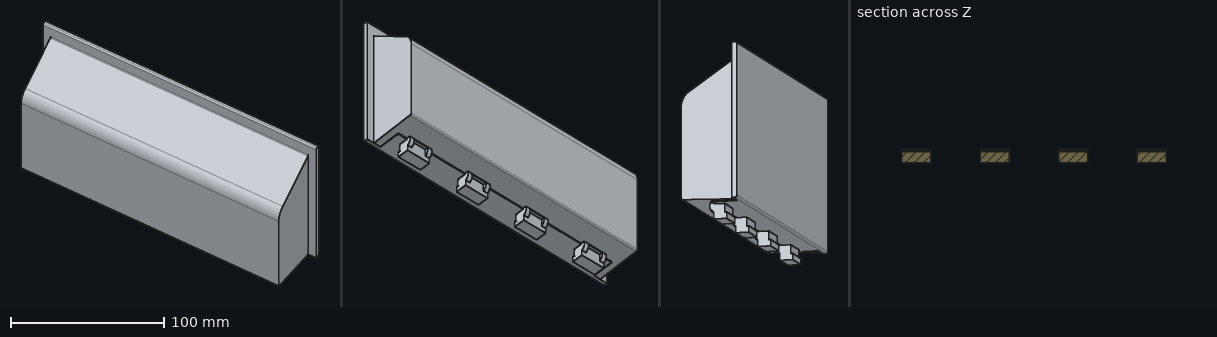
import cadquery as cq
import math


flange_width = 211.0
flange_height = 103.2
flange_thickness = 3.5
flange_top_round = 1.0
flange_bottom_round = 1.5

hood_width = 199.0
front_y = -39.7
hood_top_z = flange_height - 9.7
hood_root_radius = 0.8
hood_slope_angle = 33.7
hood_edge_radius = 11.4
hood_back_bottom_z = 0.17
hood_front_bottom_z = 1.43
hood_bottom_round = 1.0

pad_width = 187.8
pad_front_y = -20.9
pad_root_z = 2.1

clip_count = 4
clip_pitch = 51.0
clip_width = 19.2
clip_bottom_z = -10.0
clip_foot_back_y = -12.7
clip_neck_back_y = -14.0
clip_foot_front_y = -21.5
clip_nose_front_y = -24.0
clip_foot_top_z = -5.7
clip_nose_center_z = -1.3
clip_window_width = 12.0
clip_root_z = 2 * clip_nose_center_z - clip_foot_top_z
clip_window_top_z = -0.2

hood_overlap = 1.0


def side_extrusion(outline, width):
    """Extrude a closed YZ outline by the given width, centred on X = 0."""
    return outline.close().extrude(width / 2, both=True)


def make_flange():
    plate = cq.Workplane("XY").box(
        flange_width, flange_thickness, flange_height, centered=(True, False, False)
    )
    plate = plate.translate((0, -flange_thickness, 0))
    plate = plate.edges("|X and >Z").fillet(flange_top_round)
    return plate.faces("<Z").edges("|X and >Y").fillet(flange_bottom_round)


def make_hood():
    slope_drop = (-flange_thickness - front_y) * math.tan(math.radians(hood_slope_angle))
    inner_y = -flange_thickness + hood_overlap
    outline = (
        cq.Workplane("YZ")
        .moveTo(inner_y, hood_back_bottom_z)
        .lineTo(-flange_thickness, hood_back_bottom_z)
        .lineTo(front_y, hood_front_bottom_z)
        .lineTo(front_y, hood_top_z - slope_drop)
        .lineTo(-flange_thickness, hood_top_z)
        .lineTo(inner_y, hood_top_z)
    )
    hood = side_extrusion(outline, hood_width)
    hood = hood.faces("<Y").edges("|X").edges(">Z").fillet(hood_edge_radius)
    return hood.faces("<Y").edges("|X").edges("<Z").fillet(hood_bottom_round)


def make_pad():
    return cq.Workplane("XY").box(
        pad_width, -flange_thickness - pad_front_y, pad_root_z, centered=(True, False, False)
    ).translate((0, pad_front_y, 0))


def make_clip():
    outline = (
        cq.Workplane("YZ")
        .moveTo(clip_neck_back_y, clip_root_z)
        .lineTo(clip_foot_front_y, clip_root_z)
        .threePointArc((clip_nose_front_y, clip_nose_center_z), (clip_foot_front_y, clip_foot_top_z))
        .lineTo(clip_foot_front_y, clip_bottom_z)
        .lineTo(clip_foot_back_y, clip_bottom_z)
        .lineTo(clip_foot_back_y, clip_foot_top_z)
        .lineTo(clip_neck_back_y, clip_foot_top_z)
    )
    clip = side_extrusion(outline, clip_width)
    window = cq.Workplane("XY").box(
        clip_window_width,
        clip_foot_front_y - front_y,
        clip_window_top_z - clip_foot_top_z,
        centered=(True, False, False),
    ).translate((0, front_y, clip_foot_top_z))
    return clip.cut(window).clean()


shell = make_flange().union(make_hood())
root_edge = cq.selectors.NearestToPointSelector((0, -flange_thickness, hood_top_z))
shell = shell.edges("|X").edges(root_edge).fillet(hood_root_radius)
result = shell.union(make_pad())
clip = make_clip()
for index in range(clip_count):
    clip_x = (index - (clip_count - 1) / 2) * clip_pitch
    result = result.union(clip.translate((clip_x, 0, 0)))